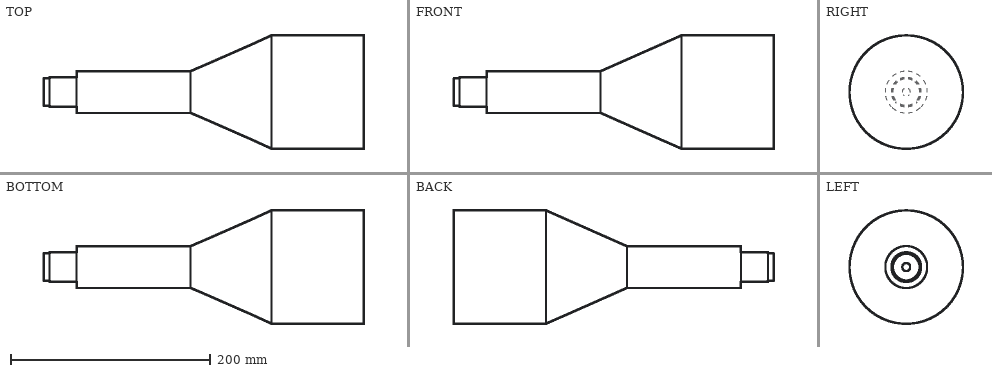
import cadquery as cq

tip_end = 6.0
spigot_end = 33.0
shaft_end = 147.5
cone_end = 228.8
total_length = 321.3

tip_diameter = 28.0
tip_chamfer = 0.5
spigot_diameter = 30.0
shaft_diameter = 42.0
body_diameter = 114.0

recess_diameter = 8.0
recess_depth = 0.5


def turned_body():
    """Revolve the stepped half-profile about the X axis."""
    profile = (
        cq.Workplane("XZ")
        .moveTo(0, 0)
        .lineTo(0, tip_diameter / 2 - tip_chamfer)
        .lineTo(tip_chamfer, tip_diameter / 2)
        .lineTo(tip_end, tip_diameter / 2)
        .lineTo(tip_end, spigot_diameter / 2)
        .lineTo(spigot_end, spigot_diameter / 2)
        .lineTo(spigot_end, shaft_diameter / 2)
        .lineTo(shaft_end, shaft_diameter / 2)
        .lineTo(cone_end, body_diameter / 2)
        .lineTo(total_length, body_diameter / 2)
        .lineTo(total_length, 0)
        .close()
    )
    return profile.revolve(360, (0, 0, 0), (1, 0, 0))


def tip_recess():
    """Disc removed from the tip face."""
    return cq.Workplane("YZ").circle(recess_diameter / 2).extrude(recess_depth)


result = turned_body().cut(tip_recess())